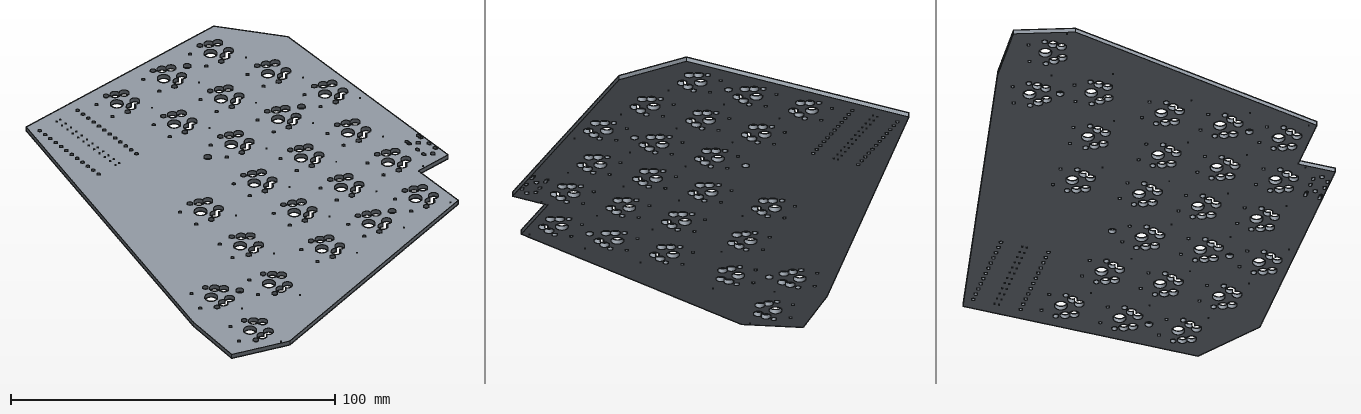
import cadquery as cq


BOARD_LENGTH = 132.6
BOARD_DEPTH = 114.3
BOARD_THICKNESS = 1.6

LEFT_EDGE_BOTTOM = 24.1
LEFT_EDGE_TOP = 100.3
TOP_EDGE_LEFT = 18.8
NOTCH_LEFT = 95.0
NOTCH_FLOOR = 102.3
NOTCH_RIGHT = 113.9
RIGHT_TIP_Y = 17.9
BOTTOM_CORNER_X = 126.0
BOTTOM_BEND = (106.2, 1.26)

COLUMN_COUNT = 6
ROW_COUNT = 3
FIRST_COLUMN_X = 9.5
LAST_COLUMN_X = 104.6
KEY_PITCH = (LAST_COLUMN_X - FIRST_COLUMN_X) / (COLUMN_COUNT - 1)
BOTTOM_ROW_Y = 52.8
COLUMN_STAGGER = [0.0, 7.0, 13.9, 7.0, 7.0, 2.0]

THUMB_KEYS = [
    (66.5, 38.2, 0),
    (87.1, 36.6, -10),
    (107.0, 31.3, -20),
    (100.5, 13.4, -20),
    (120.5, 12.1, -20),
]

STEM_DIAMETER = 4.0
SIDE_PIN_DIAMETER = 1.7
SIDE_PIN_SPACING = 10.2
SWITCH_GRID = SIDE_PIN_SPACING / 4
CONTACT_DIAMETER = 3.0
LOWER_PIN_DIAMETER = 1.0
LOWER_PIN_DROP = 5.0
KEY_VIA_DIAMETER = 0.3
KEY_VIA_POSITION = (8.5, 7.0)

MOUNT_DIAMETER = 2.4
MATRIX_MOUNTS = [(0, 1.5), (2, 1.5), (2, -0.5), (5, 1.5)]
THUMB_MOUNT = (103.7, 22.3)

HEADER_PIN_COUNT = 12
HEADER_FIRST_X = 4.1
HEADER_LAST_X = 32.1
HEADER_PITCH = (HEADER_LAST_X - HEADER_FIRST_X) / (HEADER_PIN_COUNT - 1)
HEADER_PIN_ROWS = [26.1, 41.5]
HEADER_PIN_DIAMETER = 1.1
HEADER_VIA_ROWS = [33.0, 34.5]
HEADER_VIA_DIAMETER = 0.4

JACK_AXIS_Y = 111.1
JACK_PEG_XS = [84.5, 91.4]
JACK_PEG_DIAMETER = 1.5
JACK_SLOT_XS = [81.8, 82.9, 86.9, 89.8]
JACK_SLOT_ROW_SPACING = 4.6
JACK_SLOT_LENGTH = 1.5
JACK_SLOT_WIDTH = 1.0


def drills(centres, diameter):
    """Round cutters through the board thickness, one at each centre."""
    sketch = cq.Workplane("XY").pushPoints(centres)
    return sketch.circle(diameter / 2).extrude(BOARD_THICKNESS)


def mirrored_pair(x, y):
    """Two points at the same height on either side of the switch centre line."""
    return [(-x, y), (x, y)]


def matrix_position(column, row):
    """Switch centre in the matrix; a half row lies midway between two switches."""
    x = FIRST_COLUMN_X + column * KEY_PITCH
    y = BOTTOM_ROW_Y + COLUMN_STAGGER[column] + row * KEY_PITCH
    return (x, y)


def make_board():
    outline = [
        (0, LEFT_EDGE_BOTTOM),
        (0, LEFT_EDGE_TOP),
        (TOP_EDGE_LEFT, BOARD_DEPTH),
        (NOTCH_LEFT, BOARD_DEPTH),
        (NOTCH_LEFT, NOTCH_FLOOR),
        (NOTCH_RIGHT, NOTCH_FLOOR),
        (BOARD_LENGTH, RIGHT_TIP_Y),
        (BOTTOM_CORNER_X, 0),
        BOTTOM_BEND,
    ]
    return cq.Workplane("XY").polyline(outline).close().extrude(BOARD_THICKNESS)


def make_switch_cutter():
    """All holes of one switch; the contact holes overlap in pairs, upper with lower."""
    lower_contacts = mirrored_pair(1.5 * SWITCH_GRID, SWITCH_GRID)
    upper_contacts = mirrored_pair(SWITCH_GRID, 2 * SWITCH_GRID)
    side_pins = mirrored_pair(SIDE_PIN_SPACING / 2, 0)
    lower_pins = mirrored_pair(1.5 * SWITCH_GRID, -LOWER_PIN_DROP)

    cutter = drills([(0, 0)], STEM_DIAMETER)
    cutter = cutter.union(drills(lower_contacts, CONTACT_DIAMETER))
    cutter = cutter.union(drills(upper_contacts, CONTACT_DIAMETER))
    cutter = cutter.union(drills(side_pins, SIDE_PIN_DIAMETER))
    cutter = cutter.union(drills(lower_pins, LOWER_PIN_DIAMETER))
    return cutter.union(drills([KEY_VIA_POSITION], KEY_VIA_DIAMETER))


def cut_switches(board):
    placements = [
        (*matrix_position(column, row), 0)
        for column in range(COLUMN_COUNT)
        for row in range(ROW_COUNT)
    ]
    switch = make_switch_cutter()
    for x, y, angle in placements + THUMB_KEYS:
        placed = switch.rotate((0, 0, 0), (0, 0, 1), angle).translate((x, y, 0))
        board = board.cut(placed)
    return board


def cut_mounts(board):
    centres = [matrix_position(column, row) for column, row in MATRIX_MOUNTS]
    return board.cut(drills(centres + [THUMB_MOUNT], MOUNT_DIAMETER))


def cut_header(board):
    columns = [HEADER_FIRST_X + i * HEADER_PITCH for i in range(HEADER_PIN_COUNT)]
    pins = [(x, y) for x in columns for y in HEADER_PIN_ROWS]
    vias = [(x, y) for x in columns for y in HEADER_VIA_ROWS]
    board = board.cut(drills(pins, HEADER_PIN_DIAMETER))
    return board.cut(drills(vias, HEADER_VIA_DIAMETER))


def cut_jack(board):
    pegs = [(x, JACK_AXIS_Y) for x in JACK_PEG_XS]
    board = board.cut(drills(pegs, JACK_PEG_DIAMETER))
    for side in (-1, 1):
        row_y = JACK_AXIS_Y + side * JACK_SLOT_ROW_SPACING / 2
        for x in JACK_SLOT_XS:
            slot = cq.Workplane("XY").center(x, row_y).slot2D(JACK_SLOT_LENGTH, JACK_SLOT_WIDTH)
            board = board.cut(slot.extrude(BOARD_THICKNESS))
    return board


result = make_board()
result = cut_switches(result)
result = cut_mounts(result)
result = cut_header(result)
result = cut_jack(result)